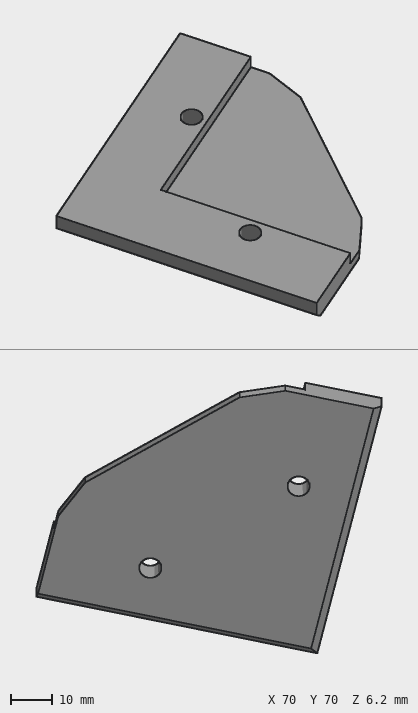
import cadquery as cq

side = 70.0
height = 6.2
bottom_chamfer = 2.0

arm_width = 19.05
web_drop = 3.5
web_height = height - web_drop

end_reach = 24.0
corner_near = 34.45
corner_far = 65.7

hole_diameter = 5.4
hole_inset = 15.0
hole_distance = 45.0


def make_web():
    outline = [
        (0, 0),
        (side, 0),
        (side, end_reach),
        (corner_far, corner_near),
        (corner_near, corner_far),
        (end_reach, side),
        (0, side),
    ]
    return cq.Workplane("XY").polyline(outline).close().extrude(web_height)


def make_border():
    outline = [
        (0, 0),
        (side, 0),
        (side, arm_width),
        (arm_width, arm_width),
        (arm_width, side),
        (0, side),
    ]
    return cq.Workplane("XY").polyline(outline).close().extrude(height)


def make_holes():
    centers = [(hole_inset, hole_distance), (hole_distance, hole_inset)]
    return cq.Workplane("XY").pushPoints(centers).circle(hole_diameter / 2).extrude(height)


body = make_border().union(make_web())

body = body.faces("<X").edges("<Z").chamfer(bottom_chamfer)
body = body.faces("<Y").edges("<Z").chamfer(bottom_chamfer)

result = body.cut(make_holes())